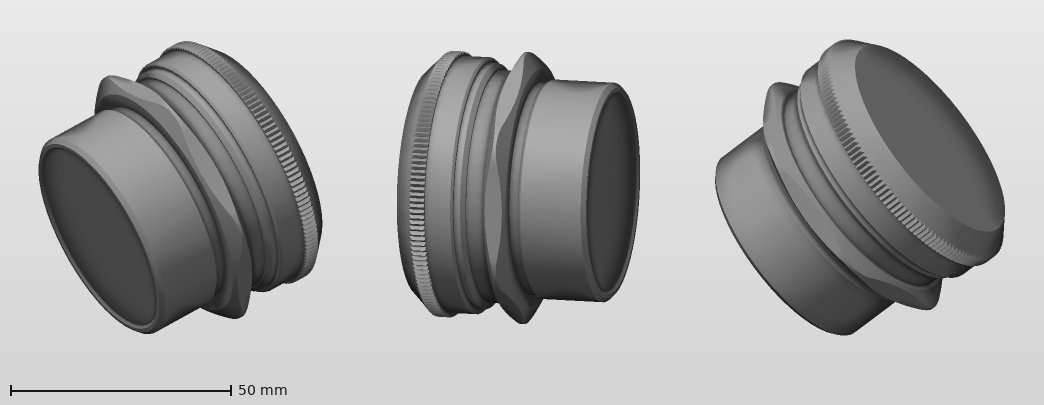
import cadquery as cq
import math

length = 44.0
end_chamfer = 1.0
thread_end = 15.2
relief_start = 16.0
hex_front = 18.0
hex_thickness = 5.2
hex_back = hex_front + hex_thickness
ring_front = 27.5
nut_front = 30.05
knurl_front = 36.5

thread_diameter = 50.0
relief_diameter = 48.4
collar_diameter = 53.0
ring_diameter = 56.0
nut_diameter = 58.5
knurl_diameter = 60.5
nut_back_diameter = 51.4

ring_chamfer = 1.0
nut_chamfer = 0.5
knurl_chamfer = 0.25

hex_sides = 6
across_flats = 57.0
across_rounded_corners = 62.7
hex_face_diameter = 55.0
hex_bevel_angle = 30.0

tooth_count = 144
knurl_depth = 0.7

recess_diameter = 46.2
recess_depth = 0.55
recess_floor_diameter = recess_diameter - 2 * recess_depth


def turn(profile):
    """Revolve a closed (radius, y) profile around the Y axis."""
    return cq.Workplane("XY").polyline(profile).close().revolve(360, (0, 0, 0), (0, 1, 0))


def make_body():
    """Threaded end, relief, collar and chamfered ring with the end recess."""
    thread_radius = thread_diameter / 2
    relief_radius = relief_diameter / 2
    collar_radius = collar_diameter / 2
    ring_radius = ring_diameter / 2
    return turn([
        (0, recess_depth),
        (recess_floor_diameter / 2, recess_depth),
        (recess_diameter / 2, 0),
        (thread_radius - end_chamfer, 0),
        (thread_radius, end_chamfer),
        (thread_radius, thread_end),
        (relief_radius, relief_start),
        (relief_radius, hex_front),
        (collar_radius, hex_front),
        (collar_radius, ring_front),
        (ring_radius - ring_chamfer, ring_front),
        (ring_radius, ring_front + ring_chamfer),
        (ring_radius, nut_front),
        (0, nut_front),
    ])


def make_hexagon():
    """Hexagon with rounded corners, corners up and down, bevelled on both faces."""
    corner_ratio = 1 / math.cos(math.pi / hex_sides)
    corner_distance = across_flats * corner_ratio
    corner_cut = (corner_distance - across_rounded_corners) / 2
    corner_radius = corner_cut / (corner_ratio - 1)
    prism = (
        cq.Workplane("XZ", origin=(0, hex_back, 0))
        .transformed(rotate=(0, 0, 90))
        .polygon(hex_sides, corner_distance)
        .extrude(hex_thickness)
        .edges("|Y")
        .fillet(corner_radius)
    )
    face_radius = hex_face_diameter / 2
    rim_radius = across_rounded_corners / 2
    bevel_depth = (rim_radius - face_radius) * math.tan(math.radians(hex_bevel_angle))
    envelope = turn([
        (0, hex_front),
        (face_radius, hex_front),
        (rim_radius, hex_front + bevel_depth),
        (rim_radius, hex_back - bevel_depth),
        (face_radius, hex_back),
        (0, hex_back),
    ])
    return prism.intersect(envelope)


def make_nut():
    """Cap nut with a 45 degree conical back."""
    nut_radius = nut_diameter / 2
    cone_radius = nut_back_diameter / 2
    return turn([
        (0, nut_front),
        (nut_radius - nut_chamfer, nut_front),
        (nut_radius, nut_front + nut_chamfer),
        (nut_radius, length + cone_radius - nut_radius),
        (cone_radius, length),
        (0, length),
    ])


def make_knurl():
    """Band of pointed teeth, bevelled at the front and by the cone of the nut at the back."""
    tip_radius = knurl_diameter / 2
    root_radius = tip_radius - knurl_depth
    cone_radius = nut_back_diameter / 2
    half_pitch = math.pi / tooth_count
    points = []
    for tooth in range(tooth_count):
        root_angle = 2 * tooth * half_pitch
        tip_angle = root_angle + half_pitch
        points.append((root_radius * math.cos(root_angle), root_radius * math.sin(root_angle)))
        points.append((tip_radius * math.cos(tip_angle), tip_radius * math.sin(tip_angle)))
    band = cq.Workplane("XZ", origin=(0, length, 0)).polyline(points).close().extrude(length - knurl_front)
    envelope = turn([
        (0, knurl_front),
        (tip_radius - knurl_chamfer, knurl_front),
        (tip_radius, knurl_front + knurl_chamfer),
        (tip_radius, length + cone_radius - tip_radius),
        (cone_radius, length),
        (0, length),
    ])
    return band.intersect(envelope)


result = make_body().union(make_hexagon()).union(make_nut()).union(make_knurl())